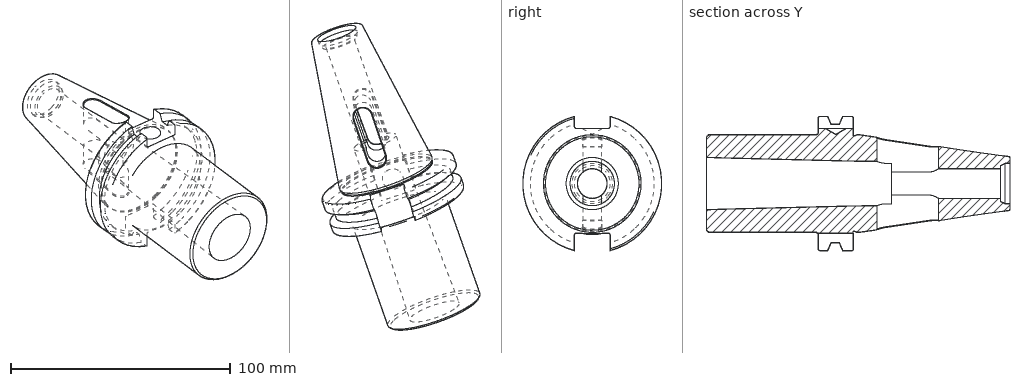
import cadquery as cq
import math

length = 138.1

gauge_diameter = 44.5
taper_ratio = 7 / 24
taper_length = 68.4
small_end_rounding = 0.8
gauge_land = 1.2
relief_diameter = 43.6
relief_step = 1.1

flange_start = 71.3
flange_end = 87.3
flange_diameter = 63.2
flange_rounding = 0.8
groove_center = 79.5
groove_floor_diameter = 56.3
groove_floor_width = 3.7
groove_mouth_width = 6.8

nose_diameter = gauge_diameter
nose_chamfer = 1.0
neck_fillet = 1.0

notch_width = 16.2
top_notch_height = 25.1
bottom_notch_height = 22.6
notch_corner_radius = 0.7

dimple_diameter = 9.5
dimple_angle = 120.0
dimple_center = 79.3

slot_width = 8.3
slot_start = 32.6
slot_length = 27.9
slot_edge_chamfer = 0.4

through_diameter = 13.4
mouth_diameter = 18.4
mouth_depth = 2.2
mouth_cone_end_diameter = 16.3
mouth_cone_end_depth = 4.3
socket_mouth_diameter = 23.8
socket_end_diameter = 20.2
socket_taper_length = 71.8
socket_depth = 84.2


def round_rim(body, x, radius, rounding):
    """Round the circular edge of the given radius at position x."""
    tolerance = 0.01
    rims = [
        edge for edge in body.edges("%CIRCLE").vals()
        if abs(edge.Center().x - x) < tolerance and abs(edge.radius() - radius) < tolerance
    ]
    return body.newObject(rims).fillet(rounding)


def make_outer_body():
    gauge_radius = gauge_diameter / 2
    small_radius = gauge_radius - taper_length * taper_ratio / 2
    land_end = taper_length + gauge_land
    relief_radius = relief_diameter / 2
    rim = flange_diameter / 2
    floor = groove_floor_diameter / 2
    nose = nose_diameter / 2
    half_mouth = groove_mouth_width / 2
    half_floor = groove_floor_width / 2
    fillet_middle = neck_fillet * (1 - math.sqrt(0.5))
    profile = (
        cq.Workplane("XY")
        .lineTo(0, small_radius)
        .lineTo(taper_length, gauge_radius)
        .lineTo(land_end, gauge_radius)
        .lineTo(land_end + relief_step, relief_radius)
        .lineTo(flange_start, relief_radius)
        .lineTo(flange_start, rim)
        .lineTo(groove_center - half_mouth, rim)
        .lineTo(groove_center - half_floor, floor)
        .lineTo(groove_center + half_floor, floor)
        .lineTo(groove_center + half_mouth, rim)
        .lineTo(flange_end, rim)
        .lineTo(flange_end, nose + neck_fillet)
        .threePointArc(
            (flange_end + fillet_middle, nose + fillet_middle),
            (flange_end + neck_fillet, nose),
        )
        .lineTo(length - nose_chamfer, nose)
        .lineTo(length, nose - nose_chamfer)
        .lineTo(length, 0)
        .close()
    )
    body = profile.revolve(360, (0, 0, 0), (1, 0, 0))
    body = round_rim(body, 0, small_radius, small_end_rounding)
    body = round_rim(body, flange_start, rim, flange_rounding)
    return round_rim(body, flange_end, rim, flange_rounding)


def make_bore():
    socket_end = length - socket_depth
    outline = [
        (0, 0),
        (0, mouth_diameter / 2),
        (mouth_depth, mouth_diameter / 2),
        (mouth_cone_end_depth, mouth_cone_end_diameter / 2),
        (mouth_cone_end_depth, through_diameter / 2),
        (socket_end, through_diameter / 2),
        (socket_end, socket_end_diameter / 2),
        (length - socket_taper_length, socket_end_diameter / 2),
        (length, socket_mouth_diameter / 2),
        (length, 0),
    ]
    return cq.Workplane("XY").polyline(outline).close().revolve(360, (0, 0, 0), (1, 0, 0))


def make_notch(floor_height, direction):
    """Cutter for a notch on the +Z (direction 1) or -Z (direction -1) side."""
    depth = flange_diameter / 2 - floor_height
    return (
        cq.Workplane("XY")
        .box(flange_end - flange_start, notch_width, depth)
        .edges("|X")
        .edges("<Z" if direction > 0 else ">Z")
        .fillet(notch_corner_radius)
        .translate((
            (flange_start + flange_end) / 2,
            0,
            direction * (floor_height + depth / 2),
        ))
    )


def make_dimple():
    radius = dimple_diameter / 2
    depth = radius / math.tan(math.radians(dimple_angle / 2))
    cone = cq.Solid.makeCone(
        radius, 0, depth,
        cq.Vector(dimple_center, 0, top_notch_height), cq.Vector(0, 0, -1),
    )
    return cq.Workplane(cone)


def cut_drift_slot(body):
    """Cut the slot through the taper and chamfer its rim on both sides."""
    reach = gauge_diameter / 2
    slot = (
        cq.Workplane("XY")
        .center(slot_start + slot_length / 2, 0)
        .slot2D(slot_length, slot_width)
        .extrude(reach, both=True)
    )
    body = body.cut(slot)
    rim_zone_start = reach / 2
    side_reach = slot_width
    slot_end = slot_start + slot_length
    upper_rim = cq.selectors.BoxSelector(
        (slot_start, -side_reach, rim_zone_start), (slot_end, side_reach, reach))
    lower_rim = cq.selectors.BoxSelector(
        (slot_start, -side_reach, -reach), (slot_end, side_reach, -rim_zone_start))
    return body.edges(upper_rim + lower_rim).chamfer(slot_edge_chamfer)


result = (
    cut_drift_slot(make_outer_body())
    .cut(make_bore())
    .cut(make_notch(top_notch_height, 1))
    .cut(make_notch(bottom_notch_height, -1))
    .cut(make_dimple())
)